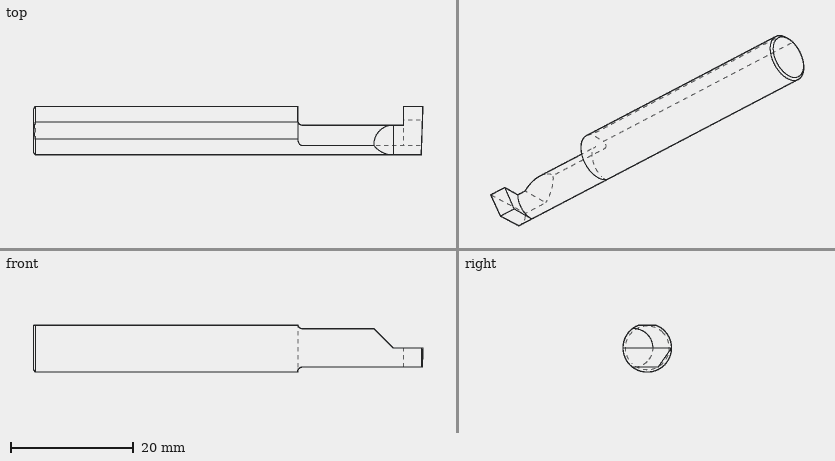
import cadquery as cq
import math

TOTAL_LENGTH = 63.5
SHANK_DIAMETER = 7.9375
SHANK_RADIUS = SHANK_DIAMETER / 2
SHANK_LENGTH = 43.1
FLAT_HEIGHT = 3.715
REAR_CHAMFER_LENGTH = 0.3
REAR_CHAMFER_DEPTH = 0.4

NECK_RADIUS = 3.15
NECK_SIDE = 0.92
NECK_CENTER_Y = NECK_SIDE - NECK_RADIUS
NECK_FILLET = 0.7

RAKE_START = 58.65
HEAD_WIDTH = 3.2
HEAD_START = TOTAL_LENGTH - HEAD_WIDTH
TOOTH_RELIEF_ANGLE = 35.0
END_FACE_SETBACK = 0.28


def make_shank():
    """Round shank with a chamfered rear end."""
    profile = (
        cq.Workplane("XY")
        .lineTo(0, SHANK_RADIUS - REAR_CHAMFER_DEPTH)
        .lineTo(REAR_CHAMFER_LENGTH, SHANK_RADIUS)
        .lineTo(SHANK_LENGTH, SHANK_RADIUS)
        .lineTo(SHANK_LENGTH, 0)
        .close()
    )
    return profile.revolve(360, (0, 0, 0), (1, 0, 0))


def make_neck():
    """Eccentric neck with a concave fillet flaring out to the shank shoulder."""
    fillet_end = SHANK_LENGTH + NECK_FILLET
    fillet_top = NECK_RADIUS + NECK_FILLET
    diagonal = NECK_FILLET * math.sin(math.radians(45))
    profile = (
        cq.Workplane("XY", origin=(0, NECK_CENTER_Y, 0))
        .moveTo(SHANK_LENGTH, 0)
        .lineTo(SHANK_LENGTH, fillet_top)
        .threePointArc((fillet_end - diagonal, fillet_top - diagonal), (fillet_end, NECK_RADIUS))
        .lineTo(TOTAL_LENGTH, NECK_RADIUS)
        .lineTo(TOTAL_LENGTH, 0)
        .close()
    )
    neck = profile.revolve(360, (0, 0, 0), (1, 0, 0))
    shank_envelope = cq.Workplane("YZ").circle(SHANK_RADIUS).extrude(TOTAL_LENGTH)
    return neck.intersect(shank_envelope)


def make_head():
    """Tooth reaching sideways to the shank radius, sloping inward below its cutting edge."""
    relief_run = NECK_RADIUS * math.tan(math.radians(TOOTH_RELIEF_ANGLE))
    return (
        cq.Workplane("YZ", origin=(HEAD_START, 0, 0))
        .moveTo(NECK_CENTER_Y, 0)
        .lineTo(SHANK_RADIUS, 0)
        .lineTo(SHANK_RADIUS - relief_run, -NECK_RADIUS)
        .lineTo(NECK_CENTER_Y, -NECK_RADIUS)
        .close()
        .extrude(HEAD_WIDTH)
    )


def make_flat_cut():
    """Everything above the clamping flat."""
    return cq.Workplane("XY", origin=(TOTAL_LENGTH / 2, 0, FLAT_HEIGHT)).box(
        TOTAL_LENGTH, SHANK_DIAMETER, SHANK_RADIUS, centered=(True, True, False)
    )


def make_rake_cut():
    """Everything above the rake face and its 45 degree ramp."""
    return (
        cq.Workplane("XZ", origin=(0, SHANK_DIAMETER, 0))
        .moveTo(RAKE_START, 0)
        .lineTo(TOTAL_LENGTH, 0)
        .lineTo(TOTAL_LENGTH, SHANK_DIAMETER)
        .lineTo(RAKE_START - SHANK_DIAMETER, SHANK_DIAMETER)
        .close()
        .extrude(2 * SHANK_DIAMETER)
    )


def make_end_cut():
    """Wedge that tilts the end face back from the tooth tip."""
    return (
        cq.Workplane("XY", origin=(0, 0, -SHANK_RADIUS))
        .moveTo(TOTAL_LENGTH, SHANK_RADIUS)
        .lineTo(TOTAL_LENGTH, -SHANK_RADIUS)
        .lineTo(TOTAL_LENGTH - END_FACE_SETBACK, -SHANK_RADIUS)
        .close()
        .extrude(SHANK_DIAMETER)
    )


neck_and_head = make_neck().cut(make_rake_cut()).union(make_head()).cut(make_end_cut())
result = make_shank().union(neck_and_head).cut(make_flat_cut())